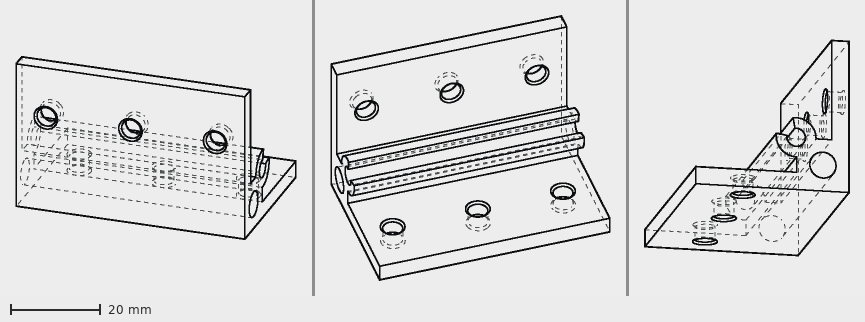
import cadquery as cq
import math

length = 54.0
leg = 35.0
thickness = 4.0

block = 12.0
bore_diameter = 6.0
bore_center = block / 2

clip_center = 12.1
clip_outer_radius = 4.55
clip_inner_radius = 2.1
mouth_flare = 10.0
mouth_reach = 2 * clip_outer_radius

hole_count = 3
hole_pitch = 20.0
hole_height = 22.8
hole_diameter = 4.5
hole_chamfer = 0.515


def extrude_along_x(sketch):
    return sketch.extrude(length / 2, both=True)


def make_angle():
    """L-shaped section with its outer edge on the X axis and a block in the corner."""
    outline = (
        cq.Workplane("YZ")
        .polyline([
            (0, 0),
            (leg, 0),
            (leg, thickness),
            (block, thickness),
            (block, block),
            (thickness, block),
            (thickness, leg),
            (0, leg),
        ])
        .close()
    )
    return extrude_along_x(outline)


def cylinder_along_x(center, radius):
    return extrude_along_x(cq.Workplane("YZ").center(center, center).circle(radius))


def make_mouth():
    """Diagonal wedge, with its tip on the block edge, that opens the clip."""
    spread = mouth_reach * math.tan(math.radians(mouth_flare))
    wedge = (
        cq.Workplane("YZ")
        .moveTo(block, block)
        .lineTo(block + mouth_reach, block + spread)
        .lineTo(block + mouth_reach, block + mouth_reach)
        .lineTo(block + spread, block + mouth_reach)
        .close()
    )
    return extrude_along_x(wedge)


def make_hole_cutter(x):
    """Hole through the upright leg, revolved about an axis parallel to Y."""
    radius = hole_diameter / 2
    rim = radius + hole_chamfer
    return (
        cq.Workplane("XY")
        .polyline([
            (0, 0),
            (rim, 0),
            (radius, hole_chamfer),
            (radius, thickness - hole_chamfer),
            (rim, thickness),
            (0, thickness),
        ])
        .close()
        .revolve(360, (0, 0), (0, 1))
        .translate((x, 0, hole_height))
    )


result = make_angle().union(cylinder_along_x(clip_center, clip_outer_radius))
result = result.cut(cylinder_along_x(clip_center, clip_inner_radius))
result = result.cut(make_mouth())
result = result.cut(cylinder_along_x(bore_center, bore_diameter / 2))

for index in range(hole_count):
    hole_x = (index - (hole_count - 1) / 2) * hole_pitch
    upright_hole = make_hole_cutter(hole_x)
    flat_hole = upright_hole.mirror(cq.Vector(0, 1, -1))
    result = result.cut(upright_hole).cut(flat_hole)